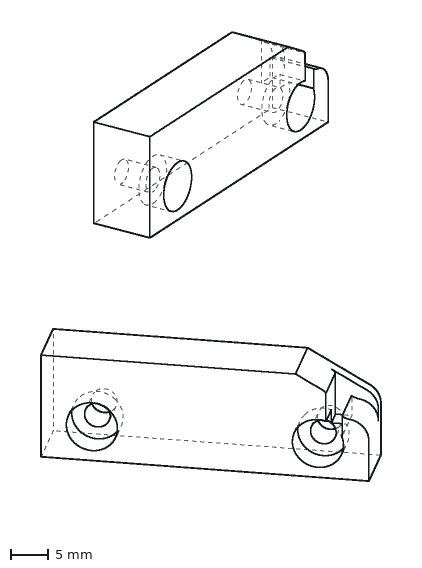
import cadquery as cq
import math

width = 9.0
length = 45.0
height = 15.0
nose_y = length / 2

slope_run = 10.1
slope_angle = math.radians(29)
nose_radius = 3.0
slope_foot_z = height - slope_run * math.tan(slope_angle)

hole_diameter = 3.5
counterbore_diameter = 2 * hole_diameter
counterbore_depth = 4.0
hole_spacing = 31.0
hole_z = 5.0

wall_thickness = 2.0
slot_near_inset = 3.7
slot_far_inset = 5.9
slot_floor_z = 6.4
slot_edge_radius = 1.5
slot_edge_inset = 6.4
lip_center_z = 5.9
lip_end_inset = 2.6
lip_hollow_radius = 2.5


def extrude_along_x(profile, thickness):
    """Extrude a YZ profile, finishing at the +X face."""
    start = width / 2 - thickness
    return profile.extrude(thickness).translate((start, 0, 0))


def make_block():
    profile = (
        cq.Workplane("YZ")
        .moveTo(-nose_y, 0)
        .lineTo(nose_y, 0)
        .lineTo(nose_y, slope_foot_z)
        .lineTo(nose_y - slope_run, height)
        .lineTo(-nose_y, height)
        .close()
    )
    block = extrude_along_x(profile, width)
    nose_edge = cq.selectors.NearestToPointSelector((0, nose_y, slope_foot_z))
    return block.edges(nose_edge).fillet(nose_radius)


def make_relief():
    """Space above the rounded lip, its hollow back and the slot."""
    lip_center_y = nose_y - nose_radius
    lip_end_y = nose_y - lip_end_inset
    lip_end_angle = math.acos((lip_end_y - lip_center_y) / nose_radius)

    def lip_point(angle):
        return (
            lip_center_y + nose_radius * math.cos(angle),
            lip_center_z + nose_radius * math.sin(angle),
        )

    center_distance = nose_radius + lip_hollow_radius
    hollow_y = lip_center_y + center_distance * math.cos(lip_end_angle)
    hollow_z = lip_center_z + center_distance * math.sin(lip_end_angle)

    def hollow_point(y):
        return y, hollow_z - math.sqrt(lip_hollow_radius**2 - (y - hollow_y) ** 2)

    slot_near_y = nose_y - slot_near_inset
    slot_far_y = nose_y - slot_far_inset

    slope_normal = math.pi / 2 - slope_angle
    slot_edge_y = nose_y - slot_edge_inset
    slot_edge_z = slope_foot_z + slot_edge_inset * math.tan(slope_angle)
    round_y = slot_edge_y - slot_edge_radius * math.cos(slope_normal)
    round_z = slot_edge_z - slot_edge_radius * math.sin(slope_normal)
    wall_angle = math.acos((slot_far_y - round_y) / slot_edge_radius)

    def round_point(angle):
        return (
            round_y + slot_edge_radius * math.cos(angle),
            round_z + slot_edge_radius * math.sin(angle),
        )

    profile = (
        cq.Workplane("YZ")
        .moveTo(*lip_point(0))
        .threePointArc(lip_point(lip_end_angle / 2), lip_point(lip_end_angle))
        .threePointArc(
            hollow_point((lip_end_y + slot_near_y) / 2), hollow_point(slot_near_y)
        )
        .lineTo(slot_near_y, slot_floor_z)
        .lineTo(slot_far_y, slot_floor_z)
        .lineTo(*round_point(wall_angle))
        .threePointArc(round_point((wall_angle + slope_normal) / 2), (slot_edge_y, slot_edge_z))
        .lineTo(slot_edge_y, height)
        .lineTo(nose_y, height)
        .close()
    )
    return extrude_along_x(profile, width - wall_thickness)


def make_screw_cutter(y):
    def cylinder(diameter, depth):
        profile = cq.Workplane("YZ").center(y, hole_z).circle(diameter / 2)
        return extrude_along_x(profile, depth)

    shank = cylinder(hole_diameter, width)
    return shank.union(cylinder(counterbore_diameter, counterbore_depth))


result = make_block().cut(make_relief())
for hole_y in (-hole_spacing / 2, hole_spacing / 2):
    result = result.cut(make_screw_cutter(hole_y))